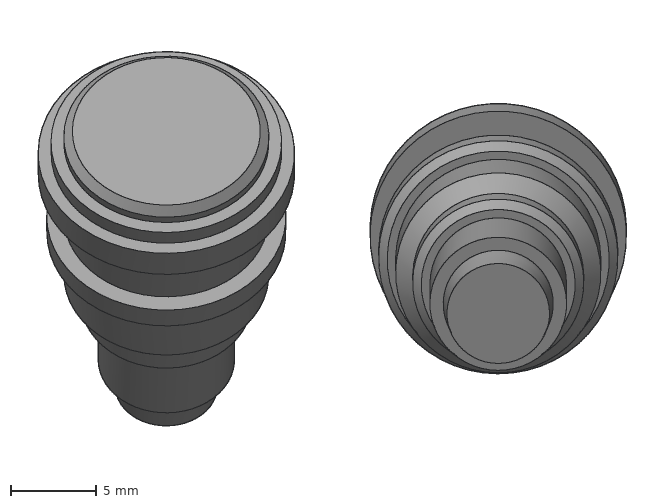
import cadquery as cq
import math

height = 24.0

body_dia = 12.0
head_step_dia = 13.5
head_flange_dia = 15.0
collar_dia = 14.0
shoulder_dia = 10.0
stem_dia = 8.0
tip_end_dia = 6.0
tip_draft_angle = 5.0

edge_chamfer = 0.5
cap_length = 1.0
head_step_length = 1.0
head_flange_length = 2.0
upper_body_length = 4.0
collar_length = 2.0
lower_body_length = 3.5
body_taper_length = 1.0
shoulder_length = 2.0
tip_length = 2.5

cap_bottom = height - cap_length
head_step_bottom = cap_bottom - head_step_length
head_flange_bottom = head_step_bottom - head_flange_length
collar_top = head_flange_bottom - upper_body_length
collar_bottom = collar_top - collar_length
lower_body_bottom = collar_bottom - lower_body_length
shoulder_top = lower_body_bottom - body_taper_length
shoulder_bottom = shoulder_top - shoulder_length
stem_bottom = tip_length


def cylinder(diameter, bottom, top):
    """Cylinder on the Z axis between two heights."""
    return cq.Workplane("XY").workplane(offset=bottom).circle(diameter / 2).extrude(top - bottom)


def cone(bottom_dia, top_dia, bottom, top):
    """Truncated cone on the Z axis between two heights."""
    profile = [(0, bottom), (bottom_dia / 2, bottom), (top_dia / 2, top), (0, top)]
    return cq.Workplane("XZ").polyline(profile).close().revolve(360, (0, 0), (0, 1))


cap = cylinder(body_dia, cap_bottom, height).faces(">Z").chamfer(edge_chamfer)
head_step = cylinder(head_step_dia, head_step_bottom, cap_bottom)
head_flange = cylinder(head_flange_dia, head_flange_bottom, head_step_bottom)

body = cylinder(body_dia, lower_body_bottom, head_flange_bottom)
collar = cylinder(collar_dia, collar_bottom, collar_top).faces("<Z").chamfer(edge_chamfer)
body_taper = cone(shoulder_dia, body_dia, shoulder_top, lower_body_bottom)

shoulder = cylinder(shoulder_dia, shoulder_bottom, shoulder_top).faces("<Z").chamfer(edge_chamfer)
stem = cylinder(stem_dia, stem_bottom, shoulder_bottom)
tip_root_dia = tip_end_dia + 2 * tip_length * math.tan(math.radians(tip_draft_angle))
tip = cone(tip_end_dia, tip_root_dia, 0, tip_length)

result = cap
for section in (head_step, head_flange, body, collar, body_taper, shoulder, stem, tip):
    result = result.union(section)